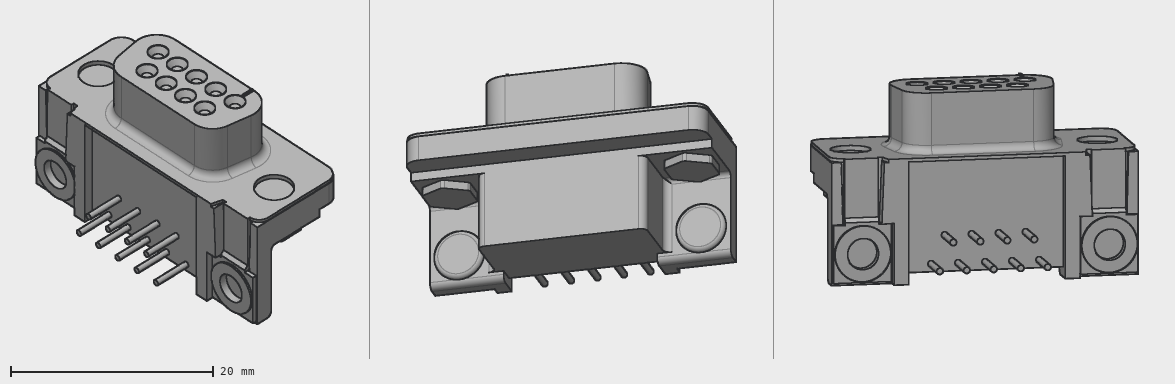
import cadquery as cq


HALF_WIDTH = 15.52
REAR_Y = 12.5
TOP_Z = 12.7
SHEET = 0.35
SHELL_INSET = 0.05
SHELL_UNDERSIDE_Z = TOP_Z - SHEET
FLANGE_BOTTOM_Z = 9.78
FLANGE_CORNER_RADIUS = 1.6
SHOULDER_REAR_Y = 9.62
SHOULDER_BOTTOM_Z = 8.85

LEG_FRONT_Y = 1.02
LEG_REAR_Y = 2.98
LEG_INNER_X = 7.9
LEG_ROOT_RADIUS = 0.53
LEG_TOE_RADIUS = 0.68

BODY_HALF_WIDTH = 8.7
BODY_BOTTOM_Z = 1.02
BODY_RADIUS = 0.75
RECESS_DEPTH = 1.0

MATING_CENTRE_Y = 6.3
SOCKET_RADIUS = 2.55
SOCKET_DEPTH = 7.9
SOCKET_TOP_Z = 18.78
LONG_SIDE_HALF = 5.65
SHORT_SIDE_HALF = 5.18
SOCKET_BASE_FILLET = 0.85

PITCH = 2.73
LONG_ROW = 5
SHORT_ROW = 4
ROW_SPACING = 2.85
CONTACT_MOUTH_DIAMETER = 2.1
CONTACT_FLOOR_DIAMETER = 1.12
CONTACT_RIM_DEPTH = 0.1
CONTACT_DEPTH = 0.75
PIN_DIAMETER = 0.65
PIN_REACH = 3.2
PIN_LOW_Z = 1.83

MARK_HEIGHT = 0.2
MARK_WIDTH = 0.2
MARK_LENGTH = 1.37

FIXING_X = 12.48
FLANGE_HOLE_DIAMETER = 4.0
FLANGE_HOLE_DEPTH = 0.5
NUT_CORNER_DIAMETER = 5.7
NUT_THICKNESS = 0.87
NUT_CORNER_RADIUS = 0.4

STRAP_INNER_X = 10.8
STRAP_OUTER_X = 14.22
STRAP_FRONT_Y = 0.95
STRAP_REAR_Y = STRAP_FRONT_Y + SHEET
PLATE_CENTRE_Z = 3.2
PLATE_SIZE = 5.8
PLATE_FRONT_Y = 0.55
PLATE_TOP_Z = PLATE_CENTRE_Z + PLATE_SIZE / 2
STRAP_BEND_TOP_Z = 6.77
STRAP_BEND_BOTTOM_Z = 6.35
RING_DIAMETER = 5.65
RING_FRONT_Y = 0.35
RING_HOLE_DIAMETER = 3.15
RING_HOLE_DEPTH = 0.9
REAR_BOSS_DIAMETER = 5.15
REAR_BOSS_HEIGHT = 0.5
REAR_BOSS_ROUND = 0.47

STEP_Z = 6.2
STEP_INNER_X = 9.4
BLOCK_TOP_X = 10.4
BLOCK_BOTTOM_X = 10.65
STRIP_TOP_X = 14.53
STRIP_BOTTOM_X = 14.37
TAB_ROOT_X = 10.35
TAB_TIP_X = 9.95


def box(x0, x1, y0, y1, z0, z1):
    """Box between two opposite corners."""
    return cq.Workplane("XY").box(x1 - x0, y1 - y0, z1 - z0, centered=False).translate((x0, y0, z0))


def front_cylinder(x, z, diameter, y0, y1):
    """Cylinder along Y between two depths."""
    circle = cq.Workplane("XZ", origin=(x, y0, z)).circle(diameter / 2)
    return circle.extrude(y0 - y1)


def both_sides(solid):
    """The right-hand solid together with its mirror image."""
    return solid.union(solid.mirror("YZ"))


def row_positions(count):
    """X positions of one row of contacts."""
    return [(i - (count - 1) / 2) * PITCH for i in range(count)]


def make_housing():
    """Flange, shoulder, legs and front block, with channels for the straps and a front recess."""
    flange = box(-HALF_WIDTH, HALF_WIDTH, LEG_FRONT_Y, REAR_Y, FLANGE_BOTTOM_Z, SHELL_UNDERSIDE_Z)
    flange = flange.edges("|Z and >Y").fillet(FLANGE_CORNER_RADIUS)
    shoulder = box(-HALF_WIDTH, HALF_WIDTH, LEG_FRONT_Y, SHOULDER_REAR_Y, SHOULDER_BOTTOM_Z, FLANGE_BOTTOM_Z)
    legs = box(-HALF_WIDTH, HALF_WIDTH, LEG_FRONT_Y, LEG_REAR_Y, 0, SHOULDER_BOTTOM_Z)
    legs = legs.edges("|X and >Y and <Z").fillet(LEG_TOE_RADIUS)
    side_frame = flange.union(shoulder).union(legs)
    root = cq.selectors.BoxSelector(
        (-HALF_WIDTH, LEG_REAR_Y - SHEET, SHOULDER_BOTTOM_Z - SHEET),
        (HALF_WIDTH, LEG_REAR_Y + SHEET, SHOULDER_BOTTOM_Z + SHEET),
    )
    side_frame = side_frame.edges(root).fillet(LEG_ROOT_RADIUS)

    front_block = (
        cq.Workplane("XZ")
        .polyline([
            (0, 0),
            (STEP_INNER_X, 0),
            (STEP_INNER_X, STEP_Z),
            (BLOCK_BOTTOM_X, STEP_Z),
            (BLOCK_TOP_X, SHELL_UNDERSIDE_Z),
            (0, SHELL_UNDERSIDE_Z),
        ])
        .close()
        .extrude(-STRAP_REAR_Y)
    )
    strap_channel = (
        cq.Workplane("XZ")
        .polyline([
            (BLOCK_BOTTOM_X, STEP_Z),
            (STRIP_BOTTOM_X, STEP_Z),
            (STRIP_TOP_X, SHELL_UNDERSIDE_Z),
            (BLOCK_TOP_X, SHELL_UNDERSIDE_Z),
        ])
        .close()
        .extrude(-STRAP_REAR_Y)
    )
    leg_gap = box(-LEG_INNER_X, LEG_INNER_X, 0, LEG_REAR_Y, 0, BODY_BOTTOM_Z)
    recess = box(-LEG_INNER_X, LEG_INNER_X, 0, RECESS_DEPTH, 0, SHELL_UNDERSIDE_Z)
    housing = side_frame.cut(both_sides(strap_channel)).union(both_sides(front_block))
    return housing.union(make_body()).cut(leg_gap).cut(recess)


def make_body():
    """Central body behind the legs, with rounded rear corners and a flared root at the legs."""
    root_y = LEG_REAR_Y + BODY_RADIUS
    half = (
        cq.Workplane("XY", origin=(0, 0, BODY_BOTTOM_Z))
        .moveTo(0, LEG_FRONT_Y)
        .lineTo(BODY_HALF_WIDTH + BODY_RADIUS, LEG_FRONT_Y)
        .lineTo(BODY_HALF_WIDTH + BODY_RADIUS, LEG_REAR_Y)
        .radiusArc((BODY_HALF_WIDTH, root_y), BODY_RADIUS)
        .lineTo(BODY_HALF_WIDTH, SHOULDER_REAR_Y - BODY_RADIUS)
        .radiusArc((BODY_HALF_WIDTH - BODY_RADIUS, SHOULDER_REAR_Y), -BODY_RADIUS)
        .lineTo(0, SHOULDER_REAR_Y)
        .close()
        .extrude(FLANGE_BOTTOM_Z - BODY_BOTTOM_Z)
    )
    return both_sides(half)


def make_shell():
    """Sheet-metal top plate, with a tapered tab that reaches forward over the front block."""
    half_width = HALF_WIDTH - SHELL_INSET
    plate = box(-half_width, half_width, STRAP_REAR_Y, REAR_Y - SHELL_INSET, SHELL_UNDERSIDE_Z, TOP_Z)
    plate = plate.edges("|Z and >Y").fillet(FLANGE_CORNER_RADIUS)
    plate = plate.edges("|Z and <Y").fillet(STRAP_REAR_Y)
    tab = (
        cq.Workplane("XY", origin=(0, 0, SHELL_UNDERSIDE_Z))
        .polyline([
            (-TAB_ROOT_X, STRAP_REAR_Y),
            (-TAB_TIP_X, 0),
            (TAB_TIP_X, 0),
            (TAB_ROOT_X, STRAP_REAR_Y),
        ])
        .close()
        .extrude(SHEET)
    )
    return plate.union(tab)


def make_socket():
    """D-shaped block standing on the top plate."""
    centre_offset = SOCKET_DEPTH / 2 - SOCKET_RADIUS
    outline = (
        cq.Workplane("XY", origin=(0, MATING_CENTRE_Y, TOP_Z))
        .polyline([
            (-LONG_SIDE_HALF, centre_offset),
            (-SHORT_SIDE_HALF, -centre_offset),
            (SHORT_SIDE_HALF, -centre_offset),
            (LONG_SIDE_HALF, centre_offset),
        ])
        .close()
        .offset2D(SOCKET_RADIUS)
    )
    return outline.extrude(SOCKET_TOP_Z - TOP_Z)


def make_contact_holes():
    """Contact holes in the socket face: a short straight rim, then a cone to a flat floor."""
    mouth_radius = CONTACT_MOUTH_DIAMETER / 2
    floor_radius = CONTACT_FLOOR_DIAMETER / 2
    cutter = (
        cq.Workplane("XZ")
        .polyline([
            (0, 0),
            (mouth_radius, 0),
            (mouth_radius, -CONTACT_RIM_DEPTH),
            (floor_radius, -CONTACT_DEPTH),
            (0, -CONTACT_DEPTH),
        ])
        .close()
        .revolve(360, (0, 0), (0, 1))
    )
    holes = cq.Workplane("XY")
    for count, side in ((LONG_ROW, 1), (SHORT_ROW, -1)):
        y = MATING_CENTRE_Y + side * ROW_SPACING / 2
        for x in row_positions(count):
            holes = holes.add(cutter.translate((x, y, SOCKET_TOP_Z)))
    return holes.combine()


def make_pins():
    """Two staggered rows of solder pins, pointing forward."""
    pins = cq.Workplane("XY")
    for count, z in ((LONG_ROW, PIN_LOW_Z), (SHORT_ROW, PIN_LOW_Z + ROW_SPACING)):
        for x in row_positions(count):
            pins = pins.add(front_cylinder(x, z, PIN_DIAMETER, -PIN_REACH, LEG_REAR_Y))
    return pins.combine()


def make_pin_one_mark():
    """Raised bar behind the right-hand contact hole of the long row."""
    x = row_positions(LONG_ROW)[-1]
    y = MATING_CENTRE_Y + (ROW_SPACING + CONTACT_MOUTH_DIAMETER) / 2
    return box(
        x - MARK_WIDTH / 2, x + MARK_WIDTH / 2,
        y, y + MARK_LENGTH,
        SOCKET_TOP_Z, SOCKET_TOP_Z + MARK_HEIGHT,
    )


def make_bracket():
    """Right-hand grounding bracket: strap, outward bend, square plate and ring."""
    strap_profile = [
        (STRAP_REAR_Y, TOP_Z),
        (STRAP_FRONT_Y, TOP_Z),
        (STRAP_FRONT_Y, STRAP_BEND_TOP_Z),
        (PLATE_FRONT_Y, STRAP_BEND_BOTTOM_Z),
        (PLATE_FRONT_Y, PLATE_TOP_Z),
        (STRAP_REAR_Y, PLATE_TOP_Z),
    ]
    strap = (
        cq.Workplane("YZ", origin=(STRAP_INNER_X, 0, 0))
        .polyline(strap_profile)
        .close()
        .extrude(STRAP_OUTER_X - STRAP_INNER_X)
    )
    plate = box(
        FIXING_X - PLATE_SIZE / 2, FIXING_X + PLATE_SIZE / 2,
        PLATE_FRONT_Y, STRAP_REAR_Y,
        PLATE_TOP_Z - PLATE_SIZE, PLATE_TOP_Z,
    )
    ring = front_cylinder(FIXING_X, PLATE_CENTRE_Z, RING_DIAMETER, RING_FRONT_Y, STRAP_REAR_Y)
    return strap.union(plate).union(ring)


def make_rear_boss():
    """Rounded boss on the back of the right-hand leg."""
    rear_y = LEG_REAR_Y + REAR_BOSS_HEIGHT
    boss = front_cylinder(FIXING_X, PLATE_CENTRE_Z, REAR_BOSS_DIAMETER, LEG_FRONT_Y + SHEET, rear_y)
    return boss.edges(">Y").fillet(REAR_BOSS_ROUND)


def make_nut():
    """Hexagonal nut under the right-hand end of the flange."""
    nut = (
        cq.Workplane("XY", origin=(FIXING_X, MATING_CENTRE_Y, SHOULDER_BOTTOM_Z - NUT_THICKNESS))
        .transformed(rotate=(0, 0, 90))
        .polygon(6, NUT_CORNER_DIAMETER)
        .extrude(NUT_THICKNESS)
    )
    return nut.edges("|Z").fillet(NUT_CORNER_RADIUS)


def make_fixing_holes():
    """Right-hand flange hole and bracket hole."""
    flange_hole = (
        cq.Workplane("XY", origin=(FIXING_X, MATING_CENTRE_Y, TOP_Z))
        .circle(FLANGE_HOLE_DIAMETER / 2)
        .extrude(-FLANGE_HOLE_DEPTH)
    )
    bracket_hole = front_cylinder(
        FIXING_X, PLATE_CENTRE_Z, RING_HOLE_DIAMETER, RING_FRONT_Y, RING_FRONT_Y + RING_HOLE_DEPTH
    )
    return flange_hole.union(bracket_hole)


socket_base = cq.selectors.BoxSelector(
    (-FIXING_X, STRAP_REAR_Y + SHEET, TOP_Z - SHEET / 2),
    (FIXING_X, SHOULDER_REAR_Y + SOCKET_RADIUS, TOP_Z + SHEET / 2),
)
shell = make_shell().union(make_socket()).edges(socket_base).fillet(SOCKET_BASE_FILLET)

fittings = make_bracket().union(make_rear_boss()).union(make_nut())

result = (
    make_housing()
    .union(shell)
    .union(both_sides(fittings))
    .cut(both_sides(make_fixing_holes()))
    .union(make_pins())
    .cut(make_contact_holes())
    .union(make_pin_one_mark())
)